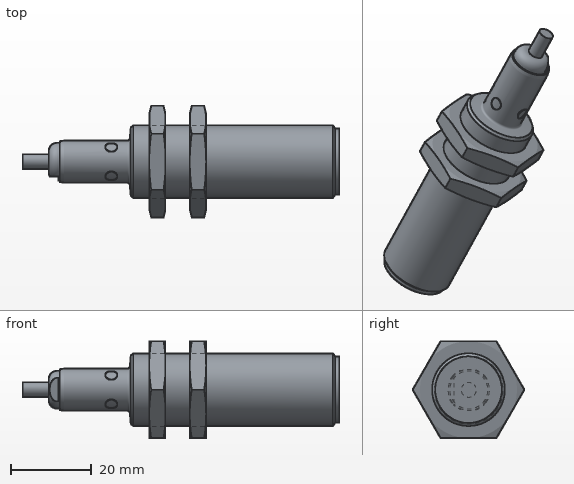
import cadquery as cq
import math

LENGTH = 78.4

CABLE_DIA = 3.7
GLAND_START = 6.4
GLAND_DIA = 9.4
GLAND_ROUND = 2.1
GLAND_FLAT_OFFSET = 3.7
GLAND_FLAT_END = 8.85

NECK_START = 9.25
NECK_DIA = 10.5
NECK_CHAMFER_LENGTH = 1.0
NECK_CHAMFER_DEPTH = 0.15
NECK_FILLET = 0.55
WINDOW_DIA = 3.0
WINDOW_X = 21.95
WINDOW_DEPTH = 0.15
WINDOW_COUNT = 4
WINDOW_START_ANGLE = 45.0

BARREL_START = 26.5
BARREL_DIA = 18.0
SHOULDER_RISE = 0.2
REAR_CHAMFER_LENGTH = 0.7
REAR_CHAMFER_DEPTH = 0.55
NOSE_DIA = 16.45
NOSE_LENGTH = 1.0
NOSE_CHAMFER_LENGTH = 0.6

NUT_FLATS = 24.0
NUT_THICKNESS = 4.0
NUT_CHAMFER = 0.5
NUT_STARTS = (31.35, 41.4)


def make_profile():
    """Half section of the housing above its axis, as X and radius."""
    gland_radius = GLAND_DIA / 2
    neck_radius = NECK_DIA / 2
    barrel_radius = BARREL_DIA / 2
    round_center_radius = gland_radius - GLAND_ROUND
    round_mid = (
        GLAND_START + GLAND_ROUND * (1 - math.sqrt(0.5)),
        round_center_radius + GLAND_ROUND * math.sqrt(0.5),
    )
    fillet_mid = (
        BARREL_START - NECK_FILLET * (1 - math.sqrt(0.5)),
        neck_radius + NECK_FILLET * (1 - math.sqrt(0.5)),
    )
    rear_edge = BARREL_START + SHOULDER_RISE
    nose_start = LENGTH - NOSE_LENGTH
    return (
        cq.Workplane("XY")
        .lineTo(0, CABLE_DIA / 2)
        .lineTo(GLAND_START, CABLE_DIA / 2)
        .lineTo(GLAND_START, round_center_radius)
        .threePointArc(round_mid, (GLAND_START + GLAND_ROUND, gland_radius))
        .lineTo(NECK_START, gland_radius)
        .lineTo(NECK_START, neck_radius - NECK_CHAMFER_DEPTH)
        .lineTo(NECK_START + NECK_CHAMFER_LENGTH, neck_radius)
        .lineTo(BARREL_START - NECK_FILLET, neck_radius)
        .threePointArc(fillet_mid, (BARREL_START, neck_radius + NECK_FILLET))
        .lineTo(rear_edge, barrel_radius - REAR_CHAMFER_DEPTH)
        .lineTo(rear_edge + REAR_CHAMFER_LENGTH, barrel_radius)
        .lineTo(nose_start - NOSE_CHAMFER_LENGTH, barrel_radius)
        .lineTo(nose_start, NOSE_DIA / 2)
        .lineTo(LENGTH, NOSE_DIA / 2)
        .lineTo(LENGTH, 0)
        .close()
    )


def make_gland_flat_cutter():
    """Block that cuts the flat on the -Y side of the gland."""
    flat_length = GLAND_FLAT_END - GLAND_START
    return (
        cq.Workplane("XY")
        .box(flat_length, GLAND_DIA, GLAND_DIA, centered=(False, False, True))
        .translate((GLAND_START, -GLAND_FLAT_OFFSET - GLAND_DIA, 0))
    )


def make_window_cutter(angle):
    """Radial plug with a curved floor for one window, turned about the sensor axis."""
    floor_radius = NECK_DIA / 2 - WINDOW_DEPTH
    core = (
        cq.Workplane("YZ", origin=(WINDOW_X - WINDOW_DIA, 0, 0))
        .circle(floor_radius)
        .extrude(2 * WINDOW_DIA)
    )
    return (
        cq.Workplane("XY", origin=(WINDOW_X, 0, 0))
        .circle(WINDOW_DIA / 2)
        .extrude(NECK_DIA)
        .cut(core)
        .rotate((0, 0, 0), (1, 0, 0), angle)
    )


def make_housing():
    housing = make_profile().revolve(360, (0, 0, 0), (1, 0, 0))
    housing = housing.cut(make_gland_flat_cutter())
    for index in range(WINDOW_COUNT):
        angle = WINDOW_START_ANGLE + index * 360 / WINDOW_COUNT
        housing = housing.cut(make_window_cutter(angle))
    return housing


def make_nut(start):
    """Hexagon nut with corners on +Y and -Y and both faces chamfered."""
    corner_radius = NUT_FLATS / math.sqrt(3)
    face_radius = NUT_FLATS / 2
    hexagon = (
        cq.Workplane("YZ")
        .polygon(6, 2 * corner_radius)
        .circle(BARREL_DIA / 2)
        .extrude(NUT_THICKNESS)
    )
    chamfer_envelope = (
        cq.Workplane("XY")
        .lineTo(0, face_radius)
        .lineTo(NUT_CHAMFER, corner_radius)
        .lineTo(NUT_THICKNESS - NUT_CHAMFER, corner_radius)
        .lineTo(NUT_THICKNESS, face_radius)
        .lineTo(NUT_THICKNESS, 0)
        .close()
        .revolve(360, (0, 0, 0), (1, 0, 0))
    )
    return hexagon.intersect(chamfer_envelope).translate((start, 0, 0))


housing = make_housing()
nuts = [make_nut(start) for start in NUT_STARTS]

result = cq.Compound.makeCompound([housing.val(), *(nut.val() for nut in nuts)])